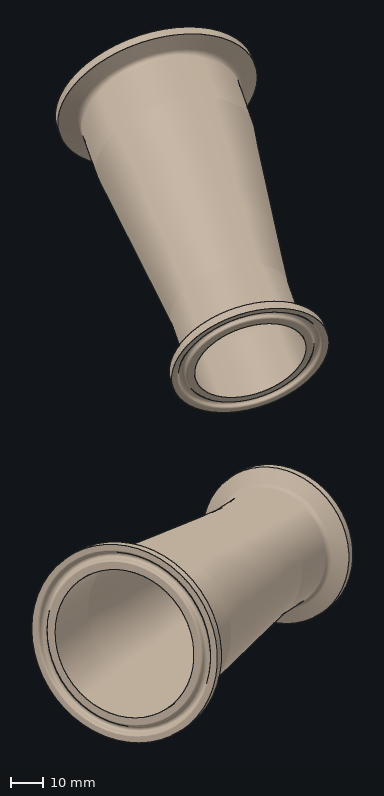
import cadquery as cq
import math

AXIS_START = (0, 0, 0)
AXIS_END = (1, 0, 0)
TOTAL_LENGTH = 107.0
FERRULE_LENGTH = 22.8

LARGE_FLANGE_RADIUS = 64.0 / 2
LARGE_TUBE_RADIUS = 50.8 / 2
LARGE_BORE_RADIUS = 47.8 / 2

SMALL_FLANGE_RADIUS = 50.5 / 2
SMALL_TUBE_RADIUS = 38.1 / 2
SMALL_BORE_RADIUS = 35.7 / 2

RIM_THICKNESS = 2.85
BACK_ANGLE = 20.0
NECK_FILLET = 2.0

LARGE_GROOVE_RADIUS = 56.3 / 2
SMALL_GROOVE_RADIUS = 43.5 / 2
GROOVE_DEPTH = 1.6
GROOVE_FLOOR_FILLET = 1.15
GROOVE_LIP_FILLET = 0.8
GROOVE_WALL_ANGLE = 20.0


def arc_point(center, radius, angle):
    """Point (axial, radial) on a circle, with the angle in degrees from the +X axis."""
    turn = math.radians(angle)
    return (center[0] + radius * math.cos(turn), center[1] + radius * math.sin(turn))


def add_groove(profile, groove_radius):
    """Continue a flange face outline outward across the gasket groove."""
    wall_turn = math.radians(GROOVE_WALL_ANGLE)
    fillet_sum = GROOVE_FLOOR_FILLET + GROOVE_LIP_FILLET
    wall_length = (GROOVE_DEPTH - fillet_sum * (1 - math.sin(wall_turn))) / math.cos(wall_turn)
    lip_offset = fillet_sum * math.cos(wall_turn) + wall_length * math.sin(wall_turn)

    floor_center = (GROOVE_DEPTH - GROOVE_FLOOR_FILLET, groove_radius)
    inner_lip_center = (GROOVE_LIP_FILLET, groove_radius - lip_offset)
    outer_lip_center = (GROOVE_LIP_FILLET, groove_radius + lip_offset)

    floor_angle = 90 - GROOVE_WALL_ANGLE
    lip_end_angle = 180 - floor_angle
    lip_mid_angle = (180 + lip_end_angle) / 2

    return (
        profile.lineTo(0, inner_lip_center[1])
        .threePointArc(
            arc_point(inner_lip_center, GROOVE_LIP_FILLET, lip_mid_angle),
            arc_point(inner_lip_center, GROOVE_LIP_FILLET, lip_end_angle),
        )
        .lineTo(*arc_point(floor_center, GROOVE_FLOOR_FILLET, -floor_angle))
        .threePointArc(
            arc_point(floor_center, GROOVE_FLOOR_FILLET, 0),
            arc_point(floor_center, GROOVE_FLOOR_FILLET, floor_angle),
        )
        .lineTo(*arc_point(outer_lip_center, GROOVE_LIP_FILLET, -lip_end_angle))
        .threePointArc(
            arc_point(outer_lip_center, GROOVE_LIP_FILLET, -lip_mid_angle),
            (0, outer_lip_center[1]),
        )
    )


def make_ferrule(flange_radius, tube_radius, bore_radius, groove_radius):
    """Clamp ferrule with its grooved face on X = 0 and its tube running toward +X."""
    back_turn = math.radians(BACK_ANGLE)
    corner_x = RIM_THICKNESS + (flange_radius - tube_radius) * math.tan(back_turn)
    tangent_length = NECK_FILLET * math.tan((math.pi / 2 - back_turn) / 2)
    neck_center = (corner_x + tangent_length, tube_radius + NECK_FILLET)
    back_end_angle = 180 + BACK_ANGLE
    neck_mid_angle = (back_end_angle + 270) / 2

    face = cq.Workplane("XY").moveTo(0, bore_radius)
    profile = (
        add_groove(face, groove_radius)
        .lineTo(0, flange_radius)
        .lineTo(RIM_THICKNESS, flange_radius)
        .lineTo(*arc_point(neck_center, NECK_FILLET, back_end_angle))
        .threePointArc(
            arc_point(neck_center, NECK_FILLET, neck_mid_angle),
            (neck_center[0], tube_radius),
        )
        .lineTo(FERRULE_LENGTH, tube_radius)
        .lineTo(FERRULE_LENGTH, bore_radius)
        .close()
    )
    return profile.revolve(360, AXIS_START, AXIS_END)


def make_reducer():
    """Hollow cone joining the two ferrule tubes."""
    start_x = FERRULE_LENGTH
    end_x = TOTAL_LENGTH - FERRULE_LENGTH
    profile = cq.Workplane("XY").polyline(
        [
            (start_x, LARGE_BORE_RADIUS),
            (start_x, LARGE_TUBE_RADIUS),
            (end_x, SMALL_TUBE_RADIUS),
            (end_x, SMALL_BORE_RADIUS),
        ]
    ).close()
    return profile.revolve(360, AXIS_START, AXIS_END)


large_ferrule = make_ferrule(
    LARGE_FLANGE_RADIUS, LARGE_TUBE_RADIUS, LARGE_BORE_RADIUS, LARGE_GROOVE_RADIUS
)
small_ferrule = (
    make_ferrule(SMALL_FLANGE_RADIUS, SMALL_TUBE_RADIUS, SMALL_BORE_RADIUS, SMALL_GROOVE_RADIUS)
    .mirror("YZ")
    .translate((TOTAL_LENGTH, 0, 0))
)

result = large_ferrule.union(make_reducer()).union(small_ferrule)